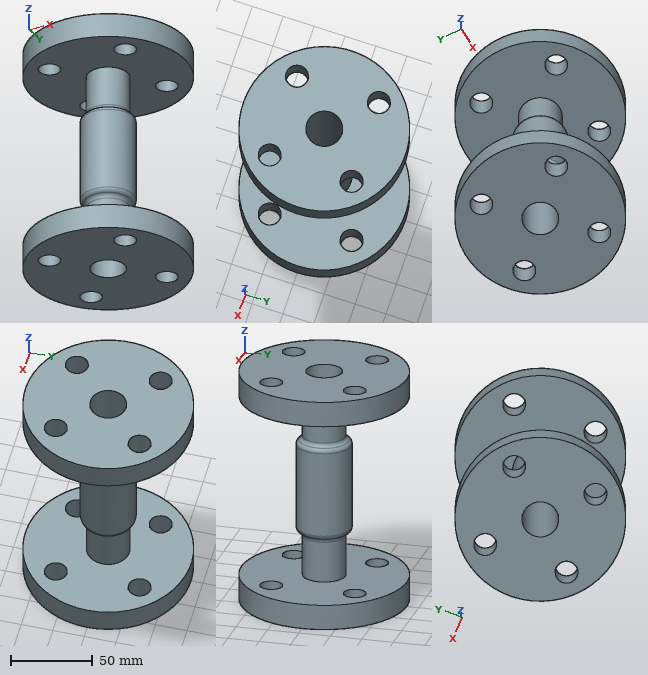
import cadquery as cq
import math

total_height = 150.0

flange_diameter = 105.0
flange_thickness = 16.0
bolt_circle_diameter = 75.0
bolt_hole_diameter = 14.0
bolt_hole_count = 4

bore_diameter = 22.5
pipe_diameter = 27.0
sleeve_diameter = 34.5
sleeve_length = 60.0
shoulder_radius = 3.0

half_height = total_height / 2
flange_inner_z = half_height - flange_thickness
flange_radius = flange_diameter / 2
pipe_radius = pipe_diameter / 2
sleeve_radius = sleeve_diameter / 2

shoulder_mid_radius = (pipe_radius + sleeve_radius) / 2
shoulder_mid_z = sleeve_length / 2
arc_angle = math.acos(1 - (sleeve_radius - shoulder_mid_radius) / shoulder_radius)
arc_height = shoulder_radius * math.sin(arc_angle)
sleeve_end_z = shoulder_mid_z - arc_height
pipe_start_z = shoulder_mid_z + arc_height


def make_turned_body():
    """Flanges, pipe and sleeve as one profile turned about Z."""
    return (
        cq.Workplane("XZ")
        .moveTo(0, -half_height)
        .lineTo(flange_radius, -half_height)
        .lineTo(flange_radius, -flange_inner_z)
        .lineTo(pipe_radius, -flange_inner_z)
        .lineTo(pipe_radius, -pipe_start_z)
        .tangentArcPoint((shoulder_mid_radius, -shoulder_mid_z), relative=False)
        .tangentArcPoint((sleeve_radius, -sleeve_end_z), relative=False)
        .lineTo(sleeve_radius, sleeve_end_z)
        .tangentArcPoint((shoulder_mid_radius, shoulder_mid_z), relative=False)
        .tangentArcPoint((pipe_radius, pipe_start_z), relative=False)
        .lineTo(pipe_radius, flange_inner_z)
        .lineTo(flange_radius, flange_inner_z)
        .lineTo(flange_radius, half_height)
        .lineTo(0, half_height)
        .close()
        .revolve(360, (0, 0), (0, 1))
    )


def make_through_holes():
    """Central bore and the bolt holes, straddling the X and Y axes."""
    first_hole_angle = 180 / bolt_hole_count
    base = cq.Workplane("XY").workplane(offset=-half_height)
    bore = base.circle(bore_diameter / 2).extrude(total_height)
    bolt_holes = (
        base.polarArray(bolt_circle_diameter / 2, first_hole_angle, 360, bolt_hole_count)
        .circle(bolt_hole_diameter / 2)
        .extrude(total_height)
    )
    return bore.union(bolt_holes)


result = make_turned_body().cut(make_through_holes())